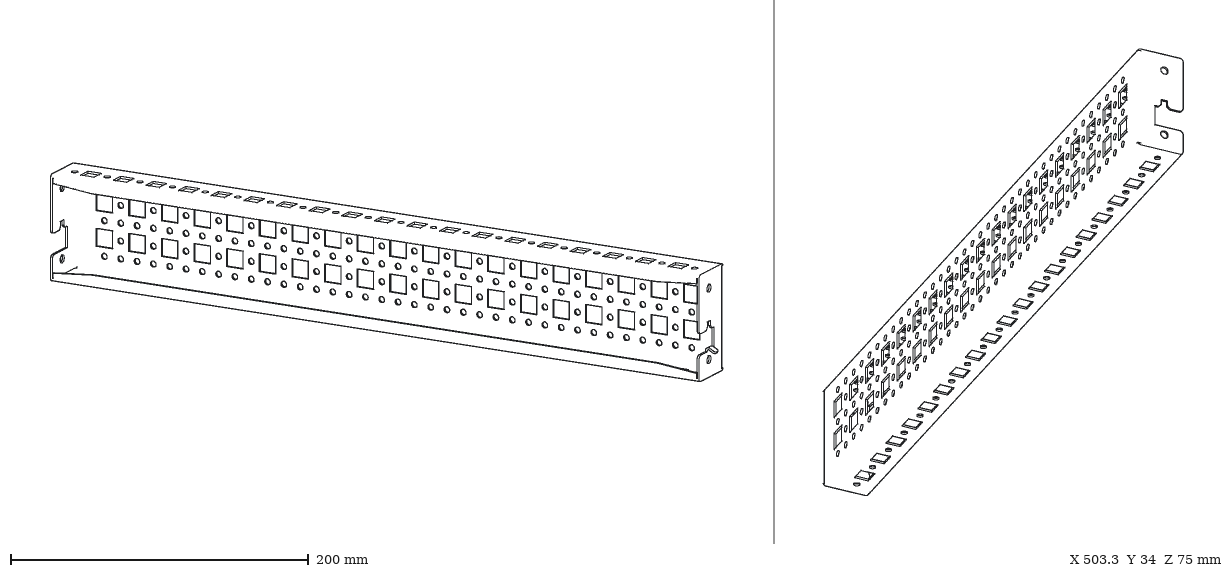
import cadquery as cq
import math

LENGTH = 497.0
DEPTH = 34.0
HEIGHT = 75.0
SHEET = 1.5
BEND_OUTER = 2.5
BEND_INNER = BEND_OUTER - SHEET

LIP_HEIGHT = 9.0
LIP_END_HEIGHT = 5.9
LIP_TAPER_LENGTH = 32.0
LIP_END_GAP = 0.5

PITCH = 25.0
HALF_PITCH = PITCH / 2
SQUARE_COUNT = 19
WEB_SQUARE = 12.5
FLANGE_SQUARE = 10.3
GRID_HOLE_DIAMETER = 4.2
FLANGE_ROW_Y = 14.0

END_HOLE_DIAMETER = 5.5
END_HOLE_Z = PITCH
SLOT_BOTTOM = -19.0
SLOT_TOP = -4.0
SLOT_DEPTH = 21.0
SLOT_MOUTH_RADIUS = 3.0
NOTCH_WIDTH = 4.5
NOTCH_TOP = 1.8
NOTCH_ROOT_CHAMFER = 2.0

OVERALL_LENGTH = 503.29
TAB_WIDTH = 5.0
TAB_REACH = OVERALL_LENGTH - LENGTH
TAB_PEAK = -16.0
TAB_SLOPE = math.radians(30)
TAB_TIP_RADIUS = 2.0

CUT_MARGIN = 1.0


def centred_box(size_x, size_y, size_z, centre):
    return cq.Workplane("XY").box(size_x, size_y, size_z).translate(centre)


def section_envelope():
    """Rounded outer block of the bent section."""
    return (
        centred_box(LENGTH, DEPTH, HEIGHT, (0, DEPTH / 2, 0))
        .edges("|X")
        .fillet(BEND_OUTER)
    )


def channel():
    """Bent sheet section with a lip along each open edge."""
    cavity = (
        centred_box(LENGTH, DEPTH - 2 * SHEET, HEIGHT - 2 * SHEET, (0, DEPTH / 2, 0))
        .edges("|X")
        .fillet(BEND_INNER)
    )
    return section_envelope().cut(cavity).cut(mouth()).cut(lip_end_gaps()).cut(web_corners())


def mouth():
    """Opening between the lips, wider at both ends where the lips taper."""
    half_length = LENGTH / 2
    taper_x = half_length - LIP_TAPER_LENGTH
    middle_z = HEIGHT / 2 - LIP_HEIGHT
    end_z = HEIGHT / 2 - LIP_END_HEIGHT
    upper_edge = [
        (-half_length, end_z),
        (-taper_x, middle_z),
        (taper_x, middle_z),
        (half_length, end_z),
    ]
    lower_edge = [(x, -z) for x, z in reversed(upper_edge)]
    return (
        cq.Workplane("XZ", origin=(0, SHEET, 0))
        .polyline(upper_edge + lower_edge)
        .close()
        .extrude(SHEET)
    )


def lip_end_gaps():
    """Clearance that stops each lip short of the end plates."""
    gap_x = SHEET + LIP_END_GAP
    centre_x = (LENGTH - gap_x) / 2
    gap_height = HEIGHT - 2 * BEND_OUTER
    right = centred_box(gap_x, SHEET, gap_height, (centre_x, SHEET / 2, 0))
    return right.union(right.mirror("YZ"))


def web_corners():
    """Strips at both ends of the web, where the end plate bends take over."""
    centre_x = (LENGTH - BEND_OUTER) / 2
    centre_y = DEPTH - BEND_OUTER / 2
    right = centred_box(BEND_OUTER, BEND_OUTER, HEIGHT - 2 * SHEET, (centre_x, centre_y, 0))
    return right.union(right.mirror("YZ"))


def end_plates():
    """Plates folded forward from the web, fitted between the flanges."""
    plate_height = HEIGHT - 2 * SHEET
    outer = (
        centred_box(LENGTH, DEPTH, plate_height, (0, DEPTH / 2, 0))
        .edges("|Z and >Y")
        .fillet(BEND_OUTER)
    )
    inner = (
        centred_box(LENGTH - 2 * SHEET, DEPTH, plate_height, (0, DEPTH / 2 - SHEET, 0))
        .edges("|Z and >Y")
        .fillet(BEND_INNER)
    )
    return outer.cut(inner).intersect(section_envelope())


def web_cutter():
    """Square windows in two rows, with round holes filling the half-pitch grid."""
    windows = []
    holes = []
    last = SQUARE_COUNT - 1
    for column in range(-last, last + 1):
        x = column * HALF_PITCH
        holes += [(x, row * PITCH) for row in (-1, 0, 1)]
        is_window = (column - last) % 2 == 0
        target = windows if is_window else holes
        target += [(x, side * HALF_PITCH) for side in (-1, 1)]
    plane = cq.Workplane("XZ", origin=(0, DEPTH + CUT_MARGIN, 0))
    depth = SHEET + 2 * CUT_MARGIN
    squares = plane.pushPoints(windows).rect(WEB_SQUARE, WEB_SQUARE).extrude(depth)
    rounds = plane.pushPoints(holes).circle(GRID_HOLE_DIAMETER / 2).extrude(depth)
    return squares.add(rounds).combine()


def flange_cutter():
    """One row of alternating round holes and squares through both flanges."""
    first_x = -(SQUARE_COUNT - 1) * HALF_PITCH
    squares = [(first_x + i * PITCH, FLANGE_ROW_Y) for i in range(SQUARE_COUNT)]
    holes = [(first_x - HALF_PITCH + i * PITCH, FLANGE_ROW_Y) for i in range(SQUARE_COUNT + 1)]
    plane = cq.Workplane("XY", origin=(0, 0, -HEIGHT / 2 - CUT_MARGIN))
    depth = HEIGHT + 2 * CUT_MARGIN
    square_tool = plane.pushPoints(squares).rect(FLANGE_SQUARE, FLANGE_SQUARE).extrude(depth)
    round_tool = plane.pushPoints(holes).circle(GRID_HOLE_DIAMETER / 2).extrude(depth)
    return square_tool.add(round_tool).combine()


def end_cutter():
    """Open slot with a flared notch above it, and two round holes, through both end plates."""
    length = LENGTH + 2 * CUT_MARGIN
    plane = cq.Workplane("YZ", origin=(-length / 2, 0, 0))
    holes = (
        plane.pushPoints([(FLANGE_ROW_Y, -END_HOLE_Z), (FLANGE_ROW_Y, END_HOLE_Z)])
        .circle(END_HOLE_DIAMETER / 2)
        .extrude(length)
    )
    flare = SLOT_MOUTH_RADIUS
    root = NOTCH_ROOT_CHAMFER
    notch_front = FLANGE_ROW_Y - NOTCH_WIDTH / 2
    notch_back = FLANGE_ROW_Y + NOTCH_WIDTH / 2
    slot = (
        plane.moveTo(0, SLOT_BOTTOM - flare)
        .radiusArc((flare, SLOT_BOTTOM), flare)
        .lineTo(SLOT_DEPTH, SLOT_BOTTOM)
        .lineTo(SLOT_DEPTH, SLOT_TOP)
        .lineTo(notch_back + root, SLOT_TOP)
        .lineTo(notch_back, SLOT_TOP + root)
        .lineTo(notch_back, NOTCH_TOP)
        .lineTo(notch_front, NOTCH_TOP)
        .lineTo(notch_front, SLOT_TOP + root)
        .lineTo(notch_front - root, SLOT_TOP)
        .lineTo(flare, SLOT_TOP)
        .radiusArc((0, SLOT_TOP + flare), flare)
        .close()
        .extrude(length)
    )
    return slot.add(holes).combine()


def tab():
    """Sheet tab rising from the slot floor, bent over outwards and sloping down to its tip."""
    bend_x = LENGTH / 2 + BEND_INNER
    bend_z = TAB_PEAK - BEND_OUTER
    tip_x = LENGTH / 2 + TAB_REACH

    def on_bend(radius, angle):
        return (bend_x + radius * math.cos(angle), bend_z + radius * math.sin(angle))

    bend_end = math.pi / 2 - TAB_SLOPE
    top_start = on_bend(BEND_OUTER, bend_end)
    under_start = on_bend(BEND_INNER, bend_end)
    top_tip = (tip_x, top_start[1] - (tip_x - top_start[0]) * math.tan(TAB_SLOPE))
    under_tip = (top_tip[0] - SHEET * math.sin(TAB_SLOPE), top_tip[1] - SHEET * math.cos(TAB_SLOPE))
    root_z = SLOT_BOTTOM - SHEET
    return (
        cq.Workplane("XZ", origin=(0, FLANGE_ROW_Y + TAB_WIDTH / 2, 0))
        .moveTo(LENGTH / 2 - SHEET, root_z)
        .lineTo(*on_bend(BEND_OUTER, math.pi))
        .threePointArc(on_bend(BEND_OUTER, math.pi / 2), top_start)
        .lineTo(*top_tip)
        .lineTo(*under_tip)
        .lineTo(*under_start)
        .threePointArc(on_bend(BEND_INNER, math.pi / 2), on_bend(BEND_INNER, math.pi))
        .lineTo(LENGTH / 2, root_z)
        .close()
        .extrude(TAB_WIDTH)
        .faces(">X")
        .edges("not |Y")
        .fillet(TAB_TIP_RADIUS)
    )


result = (
    channel()
    .union(end_plates())
    .cut(web_cutter())
    .cut(flange_cutter())
    .cut(end_cutter())
    .union(tab())
)